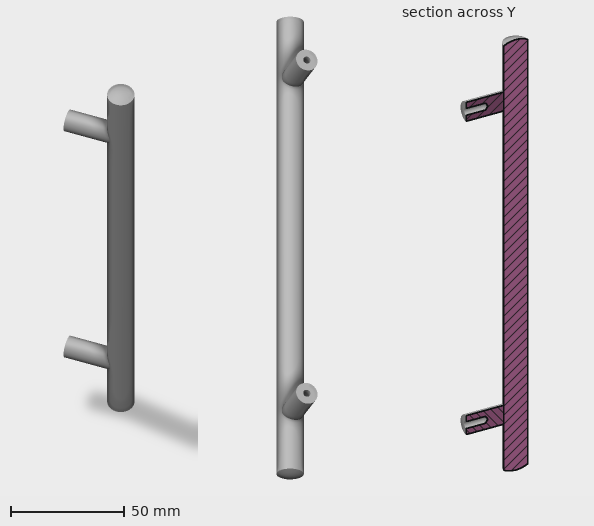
import cadquery as cq
import math

bar_length = 220.0
bar_diameter = 12.0
dome_height = 1.5

post_diameter = 10.0
post_spacing = 160.0
mount_to_bar_axis = 25.0

hole_diameter = 3.3
hole_depth = 10.0
drill_tip_angle = 118.0

bar_radius = bar_diameter / 2
hole_radius = hole_diameter / 2
drill_tip_length = hole_radius / math.tan(math.radians(drill_tip_angle / 2))


def make_bar():
    """Revolve half of the bar outline about Z, with an arc for each dome."""
    half_length = bar_length / 2
    shoulder_z = half_length - dome_height
    sphere_radius = (bar_radius**2 + dome_height**2) / (2 * dome_height)

    half_angle = math.asin(bar_radius / sphere_radius) / 2
    mid_x = sphere_radius * math.sin(half_angle)
    mid_z = half_length - sphere_radius * (1 - math.cos(half_angle))

    return (
        cq.Workplane("XZ")
        .moveTo(0, -half_length)
        .threePointArc((mid_x, -mid_z), (bar_radius, -shoulder_z))
        .lineTo(bar_radius, shoulder_z)
        .threePointArc((mid_x, mid_z), (0, half_length))
        .close()
        .revolve(360, (0, 0), (0, 1))
    )


def make_screw_hole():
    """Drilled hole along +X from the mounting face, with a conical bottom."""
    return (
        cq.Workplane("XY", origin=(-mount_to_bar_axis, 0, 0))
        .polyline([
            (0, 0),
            (0, hole_radius),
            (hole_depth, hole_radius),
            (hole_depth + drill_tip_length, 0),
        ])
        .close()
        .revolve(360, (0, 0), (1, 0))
    )


def make_post(center_z, bar):
    """Post along X whose inner end is saddled to sit on the bar surface."""
    post = (
        cq.Workplane("YZ", origin=(-mount_to_bar_axis, 0, 0))
        .circle(post_diameter / 2)
        .extrude(mount_to_bar_axis)
        .cut(make_screw_hole())
        .translate((0, 0, center_z))
    )
    return post.cut(bar)


bar = make_bar()

posts = []
for side in (-1, 1):
    posts.append(make_post(side * post_spacing / 2, bar))

result = cq.Compound.makeCompound([bar.val()] + [solid for post in posts for solid in post.solids().vals()])